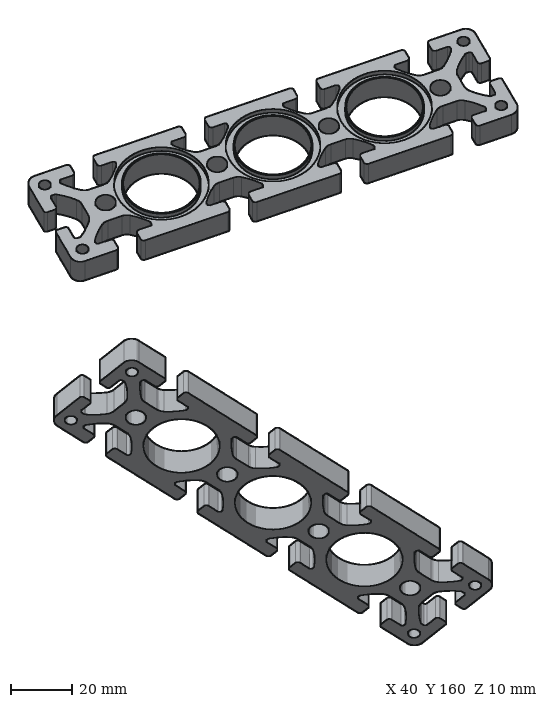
import cadquery as cq
import math

module = 40.0
module_count = 4
length = module * module_count
thickness = 10.0
corner_radius = 3.5

bore_diameter = 25.0
rim_diameter = 26.0
groove_diameter = 31.0
groove_depth = 2.0

core_hole_diameter = 6.7
corner_hole_diameter = 4.0
corner_hole_inset = 5.0

slot_opening = 8.2
slot_pocket_width = 20.0
slot_depth = 12.6
slot_floor_width = 7.7
flank_bow = 0.4
slot_floor_fillet = 4.0
pocket_fillet = 0.8
side_lip_thickness = 5.0
side_lip_fillet = 1.1
end_lip_thickness = 4.5
end_lip_fillet = 1.0

first_module = (module - length) / 2
module_points = [(0, first_module + i * module) for i in range(module_count)]
bore_points = [(0, y + module / 2) for _, y in module_points[:-1]]


def slot_cutter(lip_thickness, lip_fillet):
    """T-slot that opens toward +Y through a face on the plane Y = 0."""
    half_opening = slot_opening / 2
    half_pocket = slot_pocket_width / 2
    half_floor = slot_floor_width / 2
    flank_run = half_pocket - half_floor
    shoulder_depth = slot_depth - flank_run
    bow_offset = flank_bow / math.sqrt(2)
    flank_middle = (half_floor + flank_run / 2 + bow_offset, -slot_depth + flank_run / 2 - bow_offset)
    cutter = (
        cq.Workplane("XY")
        .moveTo(0, 0)
        .lineTo(half_opening, 0)
        .lineTo(half_opening, -lip_thickness)
        .lineTo(half_pocket, -lip_thickness)
        .lineTo(half_pocket, -shoulder_depth)
        .threePointArc(flank_middle, (half_floor, -slot_depth))
        .lineTo(0, -slot_depth)
        .mirrorY()
        .extrude(thickness)
    )
    cutter = cutter.faces("<Y").edges("|Z").fillet(slot_floor_fillet)
    cutter = cutter.faces("<X or >X").edges("|Z").fillet(pocket_fillet)

    lip_corners = cq.selectors.BoxSelector(
        (-half_opening - lip_fillet, -lip_thickness - lip_fillet, 0),
        (half_opening + lip_fillet, -lip_thickness + lip_fillet, thickness),
    )
    cutter = cutter.edges("|Z").edges(lip_corners).fillet(lip_fillet)

    flare = half_opening + lip_fillet
    mouth = (
        cq.Workplane("XY")
        .moveTo(-flare, 0)
        .radiusArc((-half_opening, -lip_fillet), lip_fillet)
        .lineTo(half_opening, -lip_fillet)
        .radiusArc((flare, 0), lip_fillet)
        .close()
        .extrude(thickness)
    )
    return cutter.union(mouth)


def placed(cutter, face_distance, angle, y=0):
    """Move the cutter to a face, turn it about Z and shift it along the bar."""
    moved = cutter.translate((0, face_distance, 0))
    return moved.rotate((0, 0, 0), (0, 0, 1), angle).translate((0, y, 0))


def cut_slots(bar):
    end_cutter = slot_cutter(end_lip_thickness, end_lip_fillet)
    for angle in (0, 180):
        bar = bar.cut(placed(end_cutter, length / 2, angle))

    side_cutter = slot_cutter(side_lip_thickness, side_lip_fillet)
    for _, y in module_points:
        for angle in (90, -90):
            bar = bar.cut(placed(side_cutter, module / 2, angle, y))
    return bar


def cut_bores(bar):
    bores = cq.Workplane("XY").pushPoints(bore_points).circle(bore_diameter / 2).extrude(thickness)
    grooves = (
        cq.Workplane("XY", origin=(0, 0, thickness - groove_depth))
        .pushPoints(bore_points)
        .circle(groove_diameter / 2)
        .circle(rim_diameter / 2)
        .extrude(groove_depth)
    )
    return bar.cut(bores).cut(grooves)


def cut_small_holes(bar):
    core_holes = (
        cq.Workplane("XY")
        .pushPoints(module_points)
        .circle(core_hole_diameter / 2)
        .extrude(thickness)
    )
    corner_holes = (
        cq.Workplane("XY")
        .rect(module - 2 * corner_hole_inset, length - 2 * corner_hole_inset, forConstruction=True)
        .vertices()
        .circle(corner_hole_diameter / 2)
        .extrude(thickness)
    )
    return bar.cut(core_holes).cut(corner_holes)


blank = cq.Workplane("XY").rect(module, length).extrude(thickness)
blank = blank.edges("|Z").fillet(corner_radius)
result = cut_small_holes(cut_bores(cut_slots(blank)))